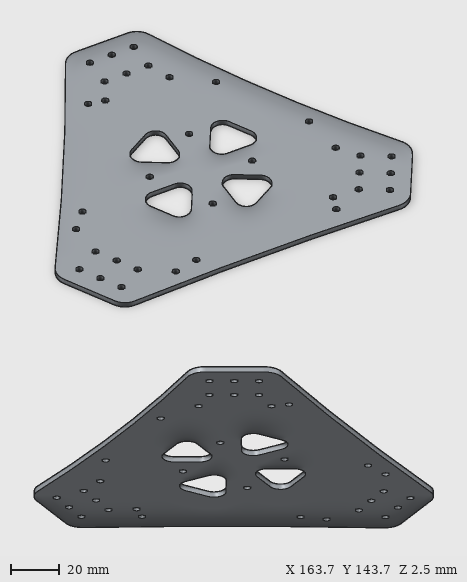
import cadquery as cq
import math

thickness = 2.5
arm_reach = 86.3
arm_half_width = 17.0
top_side_hollow = 3.3
slanted_side_hollow = 1.5
corner_radius = 8.2

window_outer_face = 30.1
window_height = 23.9
window_radius = 4.9

hole_diameter = 3.0
centre_hole_offset = 15.2
end_hole_pitch = 10.1
end_row_reach = 77.7
lower_inner_row_reach = 65.1
upper_inner_row_reach = 65.0

lower_arm_angle = -90
right_arm_angle = 30
left_arm_angle = 150


def arm_point(angle, reach, offset):
    """Point at a reach along an arm and an offset to the left of its axis."""
    a = math.radians(angle)
    x = reach * math.cos(a) - offset * math.sin(a)
    y = reach * math.sin(a) + offset * math.cos(a)
    return (x, y)


def hollow_side_middle(start, end, hollow):
    """Middle point of a side arc that bends toward the plate centre."""
    x = (start[0] + end[0]) / 2
    y = (start[1] + end[1]) / 2
    distance = math.hypot(x, y)
    shrink = (distance - hollow) / distance
    return (x * shrink, y * shrink)


def make_plate():
    sides = [
        (lower_arm_angle, right_arm_angle, slanted_side_hollow),
        (right_arm_angle, left_arm_angle, top_side_hollow),
        (left_arm_angle, lower_arm_angle, slanted_side_hollow),
    ]
    outline = cq.Workplane("XY").moveTo(*arm_point(lower_arm_angle, arm_reach, -arm_half_width))
    for arm, next_arm, hollow in sides:
        start = arm_point(arm, arm_reach, arm_half_width)
        end = arm_point(next_arm, arm_reach, -arm_half_width)
        outline = outline.lineTo(*start)
        outline = outline.threePointArc(hollow_side_middle(start, end, hollow), end)
    return outline.close().extrude(thickness).edges("|Z").fillet(corner_radius)


def make_windows():
    half_edge = window_height / math.sqrt(3)
    corners = [
        (window_outer_face, -half_edge),
        (window_outer_face, half_edge),
        (window_outer_face - window_height, 0),
    ]
    window = cq.Workplane("XY").polyline(corners).close().extrude(thickness)
    window = window.edges("|Z").fillet(window_radius)
    return [window.rotate((0, 0, 0), (0, 0, 1), angle) for angle in (0, 90, 180, 270)]


def arm_row(angle, reach):
    """Three evenly spaced holes across an arm."""
    return [arm_point(angle, reach, i * end_hole_pitch) for i in (-1, 0, 1)]


def mirrored(points):
    """The points together with their mirror images across the YZ plane."""
    return points + [(-x, y) for x, y in points]


def hole_centres():
    centre = mirrored([
        (centre_hole_offset, centre_hole_offset),
        (centre_hole_offset, -centre_hole_offset),
    ])
    lower_rows = arm_row(lower_arm_angle, end_row_reach) + arm_row(lower_arm_angle, lower_inner_row_reach)
    upper_rows = arm_row(right_arm_angle, end_row_reach) + arm_row(right_arm_angle, upper_inner_row_reach)
    edge_holes = [
        (22.5, 47.6),
        (40.1, 40.0),
        (55.0, 14.0),
        (59.9, 8.7),
        (27.5, -47.6),
        (24.0, -58.0),
    ]
    return centre + lower_rows + mirrored(upper_rows + edge_holes)


plate = make_plate()
for window_cutter in make_windows():
    plate = plate.cut(window_cutter)

holes = cq.Workplane("XY").pushPoints(hole_centres()).circle(hole_diameter / 2).extrude(thickness)
result = plate.cut(holes)